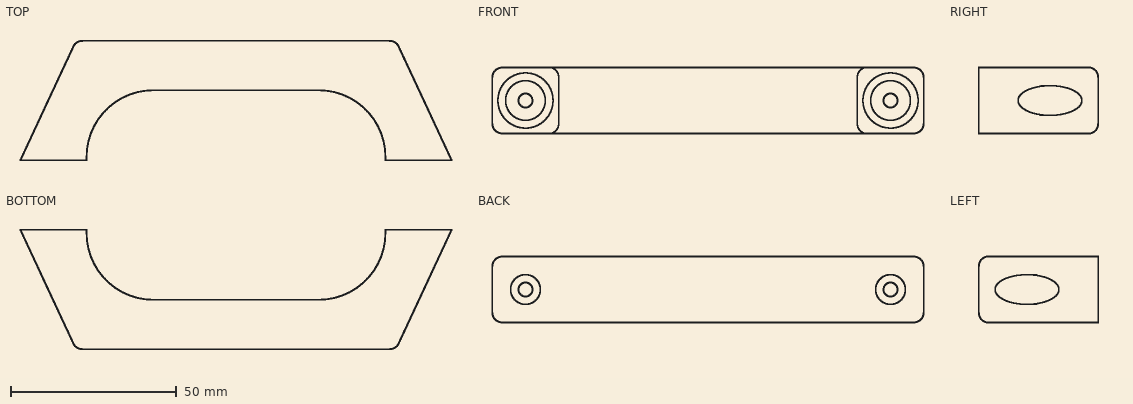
import cadquery as cq
import math

length = 130.0
height = 36.0
width = 20.0
slope_angle = 65.0
edge_radius = 3.0

foot_length = width
arch_radius = 20.0
leg_straight = 1.0

hole_diameter = 4.2
access_diameter = 9.0
access_floor = 10.0
recess_mouth_diameter = 16.6
recess_floor_diameter = 12.0
recess_depth = 5.0

half_length = length / 2
half_top = half_length - height / math.tan(math.radians(slope_angle))
half_arch = half_length - foot_length
half_flat = half_arch - arch_radius
arch_height = leg_straight + arch_radius
arc_offset = arch_radius * math.sqrt(0.5)
hole_x = half_length - foot_length / 2


def handle_body():
    """Trapezoidal bar with an arched opening, rounded everywhere except around the feet."""
    body = (
        cq.Workplane("XY")
        .moveTo(-half_length, 0)
        .lineTo(-half_top, height)
        .lineTo(half_top, height)
        .lineTo(half_length, 0)
        .lineTo(half_arch, 0)
        .lineTo(half_arch, leg_straight)
        .threePointArc(
            (half_flat + arc_offset, leg_straight + arc_offset),
            (half_flat, arch_height),
        )
        .lineTo(-half_flat, arch_height)
        .threePointArc(
            (-half_flat - arc_offset, leg_straight + arc_offset),
            (-half_arch, leg_straight),
        )
        .lineTo(-half_arch, 0)
        .close()
        .extrude(width / 2, both=True)
    )
    face_edges = body.faces("|Z").edges("not <Y")
    top_corners = body.faces(">Y").edges("|Z")
    return body.newObject(face_edges.vals() + top_corners.vals()).edges().fillet(edge_radius)


def screw_hole(x):
    """Tapered foot recess, through hole and screwdriver access bore, as one cutter."""
    profile = [
        (0, 0),
        (recess_mouth_diameter / 2, 0),
        (recess_floor_diameter / 2, recess_depth),
        (hole_diameter / 2, recess_depth),
        (hole_diameter / 2, access_floor),
        (access_diameter / 2, access_floor),
        (access_diameter / 2, height),
        (0, height),
    ]
    cutter = cq.Workplane("XY").polyline(profile).close().revolve(360, (0, 0), (0, 1))
    return cutter.translate((x, 0, 0))


result = handle_body()
for side in (-1, 1):
    result = result.cut(screw_hole(side * hole_x))